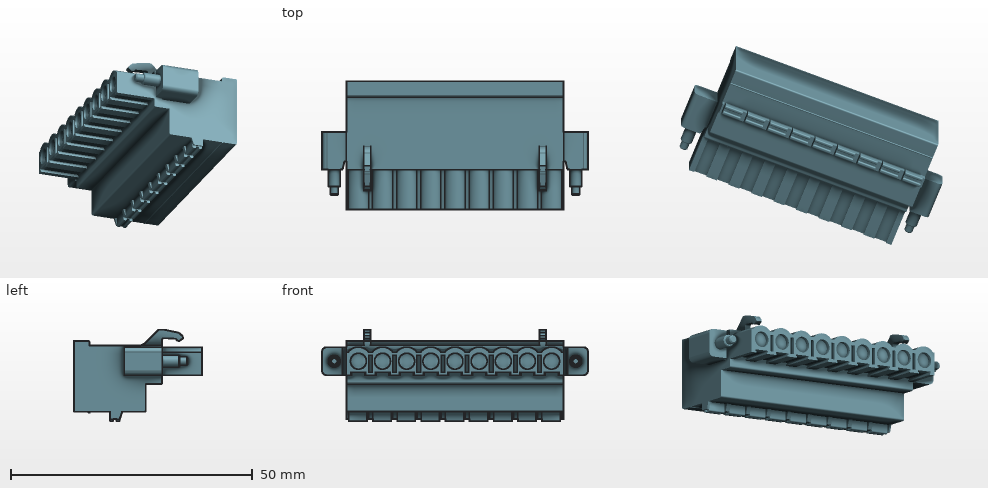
import cadquery as cq
import math


POLES = 9
PITCH = 5.0
ROW_LENGTH = POLES * PITCH
ROW_LEFT = -ROW_LENGTH / 2

HOUSING_DEPTH = 18.3
HOUSING_TOP = 3.27
HOUSING_BOTTOM = -10.5
STEP_HEIGHT = -4.75
STEP_SETBACK = 3.35
LIP_TOP = 4.22
LIP_WIDTH = 3.3
LIP_RADIUS = 0.4
HOUSING_EDGE_RADIUS = 0.35
BEAD_RADIUS = 0.15
BEAD_SETBACK = 15.1

SLEEVE_LENGTH = 8.3
SLEEVE_HALF_HEIGHT = 2.93
SHOULDER_HEIGHT = 1.9
CROWN_HALF_WIDTH = 2.1
CONTACT_HOLE_DIAMETER = 3.3
CONTACT_HOLE_DEPTH = 1.0
NOTCH_HEIGHT = 0.66
NOTCH_UPPER_HEIGHT = 0.33
NOTCH_UPPER_WIDTH = 3.1
NOTCH_LOWER_WIDTH = 2.65
SLOT_WIDTH = 0.75
SLOT_TOP = 1.2
SLOT_BOTTOM = -SLEEVE_HALF_HEIGHT + NOTCH_HEIGHT

FLANGE_REACH = 5.05
FLANGE_DEPTH = 7.8
FLANGE_CORNER_RADIUS = 1.0
RELIEF_MOUTH = 0.85
RELIEF_THROAT = 0.68
RELIEF_THROAT_DEPTH = 0.3
RELIEF_NECK = 0.42
RELIEF_DEPTH = 1.7
RELIEF_END_RADIUS = 0.25

SCREW_OFFSET = 2.5
SHANK_DIAMETER = 2.5
SHANK_LENGTH = 3.6
SHANK_CHAMFER = 0.15
TIP_DIAMETER = 1.75
TIP_LENGTH = 5.3
TIP_CHAMFER = 0.25

LATCH_WIDTH = 1.4
LATCH_OFFSET = 18.15
LATCH_TOP = 6.55
LATCH_CREST_BACK = 0.75
LATCH_CREST_FRONT = -0.3
LATCH_RAMP_ANGLE = 45
LATCH_ROOT_RADIUS = 2.0
LATCH_UNDERSIDE = 4.75
LATCH_CORNER_RADIUS = 0.35
ARM_TOP_BACK = (-0.85, 6.46)
ARM_TOP_FRONT = (-3.45, 5.9)
NOSE_TOP = (-4.2, 5.25)
NOSE_FRONT = (-4.37, 4.75)
BARB_FRONT = (-3.5, 4.13)
BARB_BACK = (-3.1, 4.27)
ARM_UNDERSIDE_FRONT = (-2.85, 4.62)

FOOT_BACK = 10.8
FOOT_FRONT = 8.75
FOOT_BOTTOM = -12.45
FOOT_START = 0.5
FOOT_WIDTH = 3.82
FOOT_GROOVE_FRONT = 9.5
FOOT_GROOVE_BACK = 10.1
FOOT_EDGE_RADIUS = 0.27
WEB_WIDTH = 0.9
WEB_BOTTOM = -12.0
WEB_ROOT_FRONT = 8.25


def box(x_range, y_range, z_range):
    """Box between the given limits along each axis."""
    size = [high - low for low, high in (x_range, y_range, z_range)]
    corner = (x_range[0], y_range[0], z_range[0])
    return cq.Workplane("XY").box(*size, centered=False).translate(corner)


def pole_left(index):
    """X of the left boundary of a pole."""
    return ROW_LEFT + index * PITCH


def make_housing():
    """Stepped housing with a raised lip along the top of its back edge."""
    lip_front = HOUSING_DEPTH - LIP_WIDTH
    profile = [
        (0, HOUSING_TOP),
        (0, STEP_HEIGHT),
        (STEP_SETBACK, STEP_HEIGHT),
        (STEP_SETBACK, HOUSING_BOTTOM),
        (HOUSING_DEPTH, HOUSING_BOTTOM),
        (HOUSING_DEPTH, LIP_TOP),
        (lip_front, LIP_TOP),
        (lip_front, HOUSING_TOP),
    ]
    housing = cq.Workplane("YZ", origin=(ROW_LEFT, 0, 0)).polyline(profile).close().extrude(ROW_LENGTH)

    def edge_at(y, z):
        return cq.selectors.NearestToPointSelector((0, y, z))

    housing = housing.edges(edge_at(lip_front, LIP_TOP)).fillet(LIP_RADIUS)
    for y, z in ((0, STEP_HEIGHT), (STEP_SETBACK, HOUSING_BOTTOM), (HOUSING_DEPTH, HOUSING_BOTTOM)):
        housing = housing.edges(edge_at(y, z)).fillet(HOUSING_EDGE_RADIUS)

    bead = (
        cq.Workplane("YZ", origin=(ROW_LEFT, 0, 0))
        .center(BEAD_SETBACK, HOUSING_BOTTOM)
        .circle(BEAD_RADIUS)
        .extrude(ROW_LENGTH)
    )
    return housing.union(bead)


def make_sleeve(index):
    """One round-topped plug sleeve with its contact hole and keyed bottom notch."""
    half_pitch = PITCH / 2
    notch_shoulder = -SLEEVE_HALF_HEIGHT + NOTCH_HEIGHT - NOTCH_UPPER_HEIGHT
    notch_top = -SLEEVE_HALF_HEIGHT + NOTCH_HEIGHT
    upper = NOTCH_UPPER_WIDTH / 2
    lower = NOTCH_LOWER_WIDTH / 2
    face = cq.Workplane("XZ", origin=(pole_left(index) + half_pitch, -SLEEVE_LENGTH, 0))
    sleeve = (
        face.moveTo(-half_pitch, -SLEEVE_HALF_HEIGHT)
        .lineTo(-half_pitch, SHOULDER_HEIGHT)
        .lineTo(-CROWN_HALF_WIDTH, SHOULDER_HEIGHT)
        .threePointArc((0, SLEEVE_HALF_HEIGHT), (CROWN_HALF_WIDTH, SHOULDER_HEIGHT))
        .lineTo(half_pitch, SHOULDER_HEIGHT)
        .lineTo(half_pitch, -SLEEVE_HALF_HEIGHT)
        .lineTo(lower, -SLEEVE_HALF_HEIGHT)
        .lineTo(lower, notch_shoulder)
        .lineTo(upper, notch_shoulder)
        .lineTo(upper, notch_top)
        .lineTo(-upper, notch_top)
        .lineTo(-upper, notch_shoulder)
        .lineTo(-lower, notch_shoulder)
        .lineTo(-lower, -SLEEVE_HALF_HEIGHT)
        .close()
        .extrude(-SLEEVE_LENGTH)
    )
    hole = face.circle(CONTACT_HOLE_DIAMETER / 2).extrude(-CONTACT_HOLE_DEPTH)
    return sleeve.cut(hole)


def make_sleeve_slot(index):
    """Slot between a sleeve and the one on its left."""
    x = pole_left(index)
    return box((x - SLOT_WIDTH / 2, x + SLOT_WIDTH / 2), (-SLEEVE_LENGTH, 0), (SLOT_BOTTOM, SLOT_TOP))


def make_flange():
    """Left-hand screw flange, with a tapered relief beside the housing, and its screw."""
    outer = ROW_LEFT - FLANGE_REACH
    flange = box((outer, ROW_LEFT), (0, FLANGE_DEPTH), (-SLEEVE_HALF_HEIGHT, SLEEVE_HALF_HEIGHT))
    flange = flange.edges("|Y and <X").fillet(FLANGE_CORNER_RADIUS)

    neck_depth = RELIEF_DEPTH - RELIEF_END_RADIUS
    arc_shift = RELIEF_END_RADIUS * math.sqrt(0.5)
    arc_end = ROW_LEFT - RELIEF_NECK + RELIEF_END_RADIUS
    relief = (
        cq.Workplane("XY", origin=(0, 0, -SLEEVE_HALF_HEIGHT))
        .moveTo(ROW_LEFT, 0)
        .lineTo(ROW_LEFT - RELIEF_MOUTH, 0)
        .lineTo(ROW_LEFT - RELIEF_THROAT, RELIEF_THROAT_DEPTH)
        .lineTo(ROW_LEFT - RELIEF_NECK, neck_depth)
        .threePointArc((arc_end - arc_shift, neck_depth + arc_shift), (arc_end, RELIEF_DEPTH))
        .lineTo(ROW_LEFT, RELIEF_DEPTH)
        .close()
        .extrude(2 * SLEEVE_HALF_HEIGHT)
    )

    axis = cq.Workplane("XZ", origin=(ROW_LEFT - SCREW_OFFSET, 0, 0))
    shank = axis.circle(SHANK_DIAMETER / 2).extrude(SHANK_LENGTH).faces("<Y").chamfer(SHANK_CHAMFER)
    tip = axis.circle(TIP_DIAMETER / 2).extrude(TIP_LENGTH).faces("<Y").chamfer(TIP_CHAMFER)
    return flange.cut(relief).union(shank).union(tip)


def make_latch():
    """Left-hand latch hook rising from the housing top and reaching forward over the sleeves."""
    ramp = math.radians(LATCH_RAMP_ANGLE)
    ramp_base = LATCH_CREST_BACK + (LATCH_TOP - HOUSING_TOP) / math.tan(ramp)
    root_back = ramp_base + LATCH_ROOT_RADIUS * math.tan(ramp / 2)
    embedded = HOUSING_TOP - HOUSING_EDGE_RADIUS
    inset = LATCH_CORNER_RADIUS * (1 - math.sqrt(0.5))

    def root_point(angle):
        y = root_back - LATCH_ROOT_RADIUS * math.sin(angle)
        z = HOUSING_TOP + LATCH_ROOT_RADIUS * (1 - math.cos(angle))
        return (y, z)

    return (
        cq.Workplane("YZ", origin=(-LATCH_OFFSET - LATCH_WIDTH / 2, 0, 0))
        .moveTo(0, embedded)
        .lineTo(root_back, embedded)
        .lineTo(root_back, HOUSING_TOP)
        .threePointArc(root_point(ramp / 2), root_point(ramp))
        .lineTo(LATCH_CREST_BACK, LATCH_TOP)
        .lineTo(LATCH_CREST_FRONT, LATCH_TOP)
        .lineTo(*ARM_TOP_BACK)
        .lineTo(*ARM_TOP_FRONT)
        .lineTo(*NOSE_TOP)
        .lineTo(*NOSE_FRONT)
        .lineTo(*BARB_FRONT)
        .lineTo(*BARB_BACK)
        .lineTo(*ARM_UNDERSIDE_FRONT)
        .lineTo(-LATCH_CORNER_RADIUS, LATCH_UNDERSIDE)
        .threePointArc((-inset, LATCH_UNDERSIDE - inset), (0, LATCH_UNDERSIDE - LATCH_CORNER_RADIUS))
        .close()
        .extrude(LATCH_WIDTH)
    )


def make_foot(index):
    """Foot below one pole, with two round-edged ribs along its bottom."""
    start = pole_left(index) + FOOT_START
    x_range = (start, start + FOOT_WIDTH)
    foot = box(x_range, (FOOT_FRONT, FOOT_BACK), (FOOT_BOTTOM, HOUSING_BOTTOM))
    groove = box(x_range, (FOOT_GROOVE_FRONT, FOOT_GROOVE_BACK), (FOOT_BOTTOM, WEB_BOTTOM))
    return foot.cut(groove).faces("<Z").edges("|X").fillet(FOOT_EDGE_RADIUS)


def make_web(index):
    """Taper-fronted web on the left of a foot, kept within the length of the row."""
    end = pole_left(index) + FOOT_START
    start = max(end - WEB_WIDTH, ROW_LEFT)
    end = min(end, ROW_LEFT + ROW_LENGTH)
    profile = [
        (WEB_ROOT_FRONT, HOUSING_BOTTOM),
        (FOOT_FRONT, WEB_BOTTOM),
        (FOOT_BACK, WEB_BOTTOM),
        (FOOT_BACK, HOUSING_BOTTOM),
    ]
    return cq.Workplane("YZ", origin=(start, 0, 0)).polyline(profile).close().extrude(end - start)


result = make_housing()
for pole in range(POLES):
    result = result.union(make_sleeve(pole)).union(make_foot(pole))
for boundary in range(POLES + 1):
    result = result.union(make_web(boundary))
for boundary in range(1, POLES):
    result = result.cut(make_sleeve_slot(boundary))
for side_part in (make_flange(), make_latch()):
    result = result.union(side_part).union(side_part.mirror("YZ"))